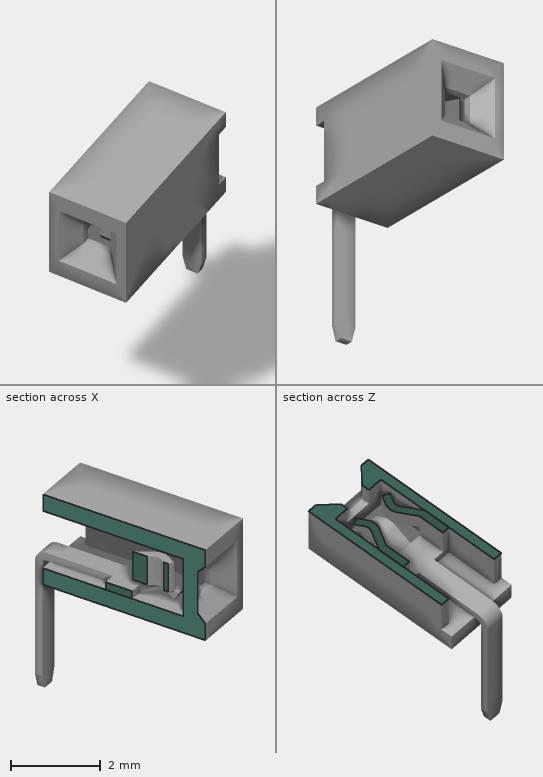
import cadquery as cq
import math


housing_width = 2.0
housing_height = 2.4
housing_length = 4.3
cavity_size = 1.5
throat_size = 0.7
throat_length = 0.2
funnel_depth = (cavity_size - throat_size) / 2
rear_notch_depth = 0.3

overall_length = 4.7
overall_height = 5.4
sheet = 0.2
strip_width = 0.5
bend_outer_radius = 0.3
bend_inner_radius = bend_outer_radius - sheet
tail_tip_width = 0.3
tail_taper_length = 0.365
tail_bottom = housing_height / 2 - overall_height
cavity_floor = -cavity_size / 2
sheet_top = cavity_floor + sheet

spring_tip_y = 0.91
spring_tip_z = -0.43
spring_peak_z = -0.255
spring_slope = math.radians(30)
spring_peak_radius = 0.38
side_spring_top = 0.5
frame_length = 0.7

peak_half_length = spring_peak_radius * math.sin(spring_slope)
peak_drop = spring_peak_radius * (1 - math.cos(spring_slope))
flank_top_z = spring_peak_z - peak_drop
flank_start_y = spring_tip_y + (flank_top_z - spring_tip_z) / math.tan(spring_slope)
spring_peak_y = flank_start_y + peak_half_length
flank_end_y = spring_peak_y + peak_half_length
spring_root_y = flank_end_y + (flank_top_z - sheet_top) / math.tan(spring_slope)

sheet_shift_y = sheet * math.sin(spring_slope)
sheet_shift_z = sheet * math.cos(spring_slope)
lower_root_y = spring_root_y - (sheet / math.cos(spring_slope) - sheet) / math.tan(spring_slope)


def box(x_range, y_range, z_range):
    """Axis-aligned block between the given limits."""
    size = [high - low for low, high in (x_range, y_range, z_range)]
    corner = (x_range[0], y_range[0], z_range[0])
    return cq.Workplane("XY").box(*size, centered=False).translate(corner)


def centered(width):
    return (-width / 2, width / 2)


def make_housing():
    body = box(centered(housing_width), (0, housing_length), centered(housing_height))
    funnel = (
        cq.Workplane("XZ")
        .rect(cavity_size, cavity_size)
        .workplane(offset=-funnel_depth)
        .rect(throat_size, throat_size)
        .loft(ruled=True)
    )
    cavity_start = funnel_depth + throat_length
    throat = box(centered(throat_size), (funnel_depth, cavity_start), centered(throat_size))
    cavity = box(centered(cavity_size), (cavity_start, housing_length), centered(cavity_size))
    rear_notch = box(
        centered(housing_width),
        (housing_length - rear_notch_depth, housing_length),
        centered(cavity_size),
    )
    return body.cut(funnel).cut(throat).cut(cavity).cut(rear_notch)


def make_spring(x_min, x_max):
    """Bowed leaf spring rising from the cavity floor, spanning x_min to x_max."""
    lower_flank_z = flank_top_z - sheet_shift_z
    lower_peak = (spring_peak_y, spring_peak_z - sheet)
    return (
        cq.Workplane("YZ", origin=(x_min, 0, 0))
        .moveTo(spring_tip_y, spring_tip_z)
        .lineTo(flank_start_y, flank_top_z)
        .threePointArc((spring_peak_y, spring_peak_z), (flank_end_y, flank_top_z))
        .lineTo(spring_root_y, sheet_top)
        .lineTo(spring_root_y, cavity_floor)
        .lineTo(lower_root_y, cavity_floor)
        .lineTo(flank_end_y - sheet_shift_y, lower_flank_z)
        .threePointArc(lower_peak, (flank_start_y + sheet_shift_y, lower_flank_z))
        .lineTo(spring_tip_y + sheet_shift_y, spring_tip_z - sheet_shift_z)
        .close()
        .extrude(x_max - x_min)
    )


def make_frame():
    """Floor and two side walls lining the cavity behind the springs."""
    y_range = (spring_root_y, spring_root_y + frame_length)
    outer = box(centered(cavity_size), y_range, (cavity_floor, side_spring_top))
    opening = box(centered(cavity_size - 2 * sheet), y_range, (sheet_top, side_spring_top))
    return outer.cut(opening)


def make_tail():
    """Strip that leaves the cavity, bends down and ends in a tapered tip."""
    rear = overall_length
    bend_y = rear - bend_outer_radius
    bend_z = sheet_top - bend_outer_radius
    diagonal = math.sqrt(0.5)
    outer_mid = (bend_y + bend_outer_radius * diagonal, bend_z + bend_outer_radius * diagonal)
    inner_mid = (bend_y + bend_inner_radius * diagonal, bend_z + bend_inner_radius * diagonal)
    strip = (
        cq.Workplane("YZ")
        .moveTo(spring_root_y, sheet_top)
        .lineTo(bend_y, sheet_top)
        .threePointArc(outer_mid, (rear, bend_z))
        .lineTo(rear, tail_bottom)
        .lineTo(rear - sheet, tail_bottom)
        .lineTo(rear - sheet, bend_z)
        .threePointArc(inner_mid, (bend_y, cavity_floor))
        .lineTo(spring_root_y, cavity_floor)
        .close()
        .extrude(strip_width / 2, both=True)
    )
    taper_top = tail_bottom + tail_taper_length
    for side in (-1, 1):
        tip_corner = (
            cq.Workplane("XZ", origin=(0, rear, 0))
            .moveTo(side * strip_width / 2, taper_top)
            .lineTo(side * strip_width / 2, tail_bottom)
            .lineTo(side * tail_tip_width / 2, tail_bottom)
            .close()
            .extrude(sheet)
        )
        strip = strip.cut(tip_corner)
    return strip


def make_contact():
    contact = make_frame().union(make_tail())
    contact = contact.union(make_spring(-strip_width / 2, strip_width / 2))
    right_spring = make_spring(-strip_width / 2, side_spring_top).rotate((0, 0, 0), (0, 1, 0), -90)
    left_spring = right_spring.mirror("YZ")
    return contact.union(right_spring).union(left_spring)


housing = make_housing()
contact = make_contact()
result = cq.Compound.makeCompound([housing.val(), contact.solids().val()])